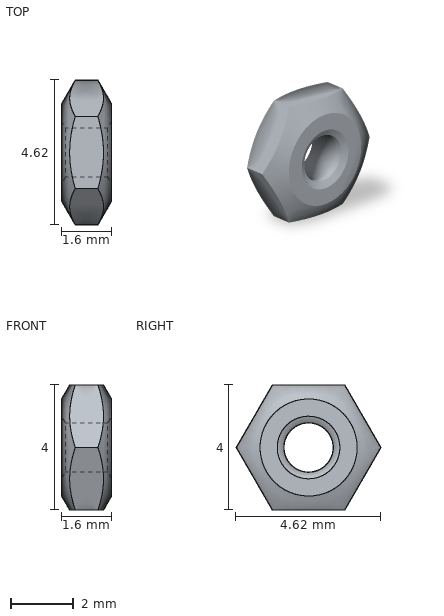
import cadquery as cq
import math

thickness = 1.6
across_flats = 4.0
bearing_face_diameter = 3.1
bevel_angle = 30.0
bore_diameter = 1.567
countersink_diameter = 2.0
countersink_angle = 30.0

across_corners = across_flats / math.cos(math.radians(30))
half_thickness = thickness / 2


def revolve_about_x(points):
    """Turn a closed (axial, radial) outline around the X axis."""
    return cq.Workplane("XY").polyline(points).close().revolve(360, (0, 0, 0), (1, 0, 0))


def hexagon_prism():
    """Hexagon bar with corners on the Y axis and flats facing +Z and -Z."""
    return cq.Workplane("YZ").polygon(6, across_corners).extrude(half_thickness, both=True)


def bevelled_envelope():
    """Turned blank whose two conical bevels trim the hexagon corners."""
    face_radius = bearing_face_diameter / 2
    rim_radius = face_radius + half_thickness / math.tan(math.radians(bevel_angle))
    return revolve_about_x([
        (-half_thickness, 0),
        (-half_thickness, face_radius),
        (0, rim_radius),
        (half_thickness, face_radius),
        (half_thickness, 0),
    ])


def countersunk_bore():
    """Through bore with a countersink at each end."""
    bore_radius = bore_diameter / 2
    mouth_radius = countersink_diameter / 2
    sink_depth = (mouth_radius - bore_radius) * math.tan(math.radians(countersink_angle))
    sink_end = half_thickness - sink_depth
    return revolve_about_x([
        (-half_thickness, 0),
        (-half_thickness, mouth_radius),
        (-sink_end, bore_radius),
        (sink_end, bore_radius),
        (half_thickness, mouth_radius),
        (half_thickness, 0),
    ])


result = hexagon_prism().intersect(bevelled_envelope()).cut(countersunk_bore())